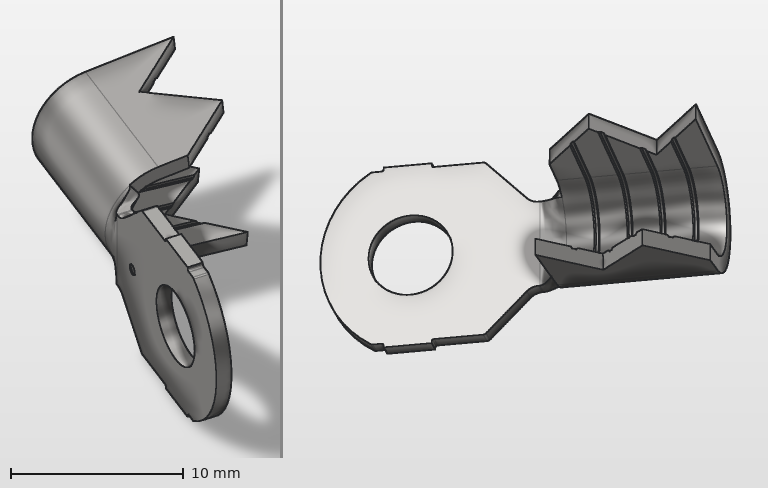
import cadquery as cq
import math

TOTAL_LENGTH = 24.13
TOTAL_DEPTH = 9.25
HEAD_WIDTH = 11.35
THICKNESS = 1.0

BARREL_LENGTH = 9.53
BARREL_RADIUS = 3.8
BORE_RADIUS = BARREL_RADIUS - THICKNESS
LEG_ANGLE = math.radians(5.3)
TOOTH_DEPTH = 3.81
TOOTH_PITCHES = 3
TOOTH_PITCH = BARREL_LENGTH / TOOTH_PITCHES

GROOVE_COUNT = 4
GROOVE_PITCH = 1.95
GROOVE_MOUTH = 0.34
GROOVE_FLOOR = 0.17
GROOVE_DEPTH = 0.1

NECK_END = 11.1
NECK_HALF_WIDTH = 2.65
NECK_HALF_ANGLE = math.radians(54.6)
NECK_STEPS = 6

SIDE_HALF_WIDTH = 5.43
SHOULDER_FILLET = 1.0
SHOULDER_START = 11.58
SHOULDER_END = SHOULDER_START + SIDE_HALF_WIDTH - NECK_HALF_WIDTH
TAB_START = 17.52
TAB_END = 20.37
TAB_FILLET = 0.15
ARC_START = 21.1
HEAD_CORNER_FILLET = 0.25
HOLE_X = 18.77
HOLE_DIAMETER = 5.0
DIMPLE_X = 13.13
DIMPLE_DIAMETER = 0.68
DIMPLE_DEPTH = 0.07

LEG_LENGTH = (TOTAL_DEPTH - BARREL_RADIUS + BORE_RADIUS * math.sin(LEG_ANGLE)) / math.cos(LEG_ANGLE)


def mirrored(point):
    return (point[0], -point[1])


def u_points(radius):
    """Upper leg tip and upper tangent point of a U with this bottom radius, as (Y, Z)."""
    tangent = (BARREL_RADIUS - radius * math.sin(LEG_ANGLE), radius * math.cos(LEG_ANGLE))
    tip = (
        tangent[0] + LEG_LENGTH * math.cos(LEG_ANGLE),
        tangent[1] + LEG_LENGTH * math.sin(LEG_ANGLE),
    )
    return tip, tangent


def u_curve(radius, x):
    """Open U-shaped curve from the upper leg tip to the lower one."""
    tip, tangent = u_points(radius)
    return (
        cq.Workplane("YZ", origin=(x, 0, 0))
        .moveTo(*tip)
        .lineTo(*tangent)
        .threePointArc((BARREL_RADIUS - radius, 0), mirrored(tangent))
        .lineTo(*mirrored(tip))
    )


def barrel_blank():
    """Plain U-shaped barrel with square leg tips."""
    inner_tip, inner_tangent = u_points(BORE_RADIUS)
    return (
        u_curve(BARREL_RADIUS, 0)
        .lineTo(*mirrored(inner_tip))
        .lineTo(*mirrored(inner_tangent))
        .threePointArc((THICKNESS, 0), inner_tangent)
        .lineTo(*inner_tip)
        .close()
        .extrude(BARREL_LENGTH)
    )


def grip_groove(center):
    """Trapezoidal cutter following the inside of the U from leg tip to leg tip."""
    tip, _ = u_points(BORE_RADIUS)
    plane = cq.Plane(
        origin=(center, *tip),
        xDir=(1, 0, 0),
        normal=(0, -math.cos(LEG_ANGLE), -math.sin(LEG_ANGLE)),
    )
    half_mouth = GROOVE_MOUTH / 2
    half_floor = GROOVE_FLOOR / 2
    profile = [
        (-half_mouth, 0),
        (half_mouth, 0),
        (half_floor, GROOVE_DEPTH),
        (-half_floor, GROOVE_DEPTH),
    ]
    return cq.Workplane(plane).polyline(profile).close().sweep(u_curve(BORE_RADIUS, center))


def tooth_gap(center, side):
    """V-shaped cutter on one leg (side = +1 or -1), square to the leg's faces."""
    inner_tip, _ = u_points(BORE_RADIUS)
    plane = cq.Plane(
        origin=(center, inner_tip[0], side * inner_tip[1]),
        xDir=(1, 0, 0),
        normal=(0, -math.sin(LEG_ANGLE), side * math.cos(LEG_ANGLE)),
    )
    valley = -side * TOOTH_DEPTH
    return (
        cq.Workplane(plane)
        .polyline([(-TOOTH_PITCH, 0), (0, valley), (TOOTH_PITCH, 0)])
        .close()
        .extrude(2 * THICKNESS, both=True)
    )


def barrel():
    body = barrel_blank()
    for index in range(GROOVE_COUNT):
        offset = (index - (GROOVE_COUNT - 1) / 2) * GROOVE_PITCH
        body = body.cut(grip_groove(BARREL_LENGTH / 2 + offset))
    for index in range(TOOTH_PITCHES + 1):
        side = 1 if index % 2 else -1
        body = body.cut(tooth_gap(index * TOOTH_PITCH, side))
    return body


def neck_section(fraction):
    """Closed (X, Y, Z) band: curved like the barrel at fraction 0, flat at fraction 1."""
    blend = fraction * fraction * (3 - 2 * fraction)
    x = BARREL_LENGTH + fraction * (NECK_END - BARREL_LENGTH)

    def edge_point(radius, flat_depth):
        curved_y = BARREL_RADIUS - radius * math.cos(NECK_HALF_ANGLE)
        curved_z = radius * math.sin(NECK_HALF_ANGLE)
        return (
            curved_y + blend * (flat_depth - curved_y),
            curved_z + blend * (NECK_HALF_WIDTH - curved_z),
        )

    outer = edge_point(BARREL_RADIUS, 0)
    inner = edge_point(BORE_RADIUS, THICKNESS)
    section = cq.Workplane("YZ", origin=(x, 0, 0)).moveTo(*outer)
    if fraction < 1:
        section = section.threePointArc((0, 0), mirrored(outer)).lineTo(*mirrored(inner))
        section = section.threePointArc((THICKNESS, 0), inner)
    else:
        section = section.lineTo(*mirrored(outer)).lineTo(*mirrored(inner)).lineTo(*inner)
    return section.close().val()


def neck():
    sections = [neck_section(step / NECK_STEPS) for step in range(NECK_STEPS + 1)]
    return cq.Workplane(obj=cq.Solid.makeLoft(sections))


def head():
    """Flat ring head, drawn in XZ and thickened towards +Y."""
    half_width = HEAD_WIDTH / 2
    upper_side = [
        (NECK_END, NECK_HALF_WIDTH),
        (SHOULDER_START, NECK_HALF_WIDTH),
        (SHOULDER_END, SIDE_HALF_WIDTH),
        (TAB_START, SIDE_HALF_WIDTH),
        (TAB_START, half_width),
        (TAB_END, half_width),
        (TAB_END, SIDE_HALF_WIDTH),
        (ARC_START, SIDE_HALF_WIDTH),
    ]
    lower_side = [mirrored(point) for point in reversed(upper_side)]
    plate = (
        cq.Workplane("XZ")
        .polyline(upper_side)
        .threePointArc((TOTAL_LENGTH, 0), lower_side[0])
        .polyline(lower_side[1:], includeCurrent=True)
        .close()
        .extrude(-THICKNESS)
    )

    def edges_at(x, z):
        """The pair of thickness edges at this corner of the outline."""
        margin = 0.012
        edges = cq.Workplane()
        for corner_z in (z, -z):
            box = cq.selectors.BoxSelector(
                (x - margin, -margin, corner_z - margin),
                (x + margin, THICKNESS + margin, corner_z + margin),
            )
            edges = edges.add(plate.edges("|Y").edges(box))
        return edges.vals()

    corner_fillets = [
        (SHOULDER_START, NECK_HALF_WIDTH, SHOULDER_FILLET),
        (SHOULDER_END, SIDE_HALF_WIDTH, HEAD_CORNER_FILLET),
        (TAB_START, SIDE_HALF_WIDTH, TAB_FILLET),
        (TAB_END, SIDE_HALF_WIDTH, TAB_FILLET),
        (ARC_START, SIDE_HALF_WIDTH, HEAD_CORNER_FILLET),
    ]
    for x, z, radius in corner_fillets:
        plate = plate.newObject(edges_at(x, z)).fillet(radius)

    hole = cq.Workplane("XZ").center(HOLE_X, 0).circle(HOLE_DIAMETER / 2).extrude(-THICKNESS)
    dimple = cq.Workplane("XZ").center(DIMPLE_X, 0).circle(DIMPLE_DIAMETER / 2).extrude(-DIMPLE_DEPTH)
    return plate.cut(hole).cut(dimple)


result = barrel().union(neck()).union(head())